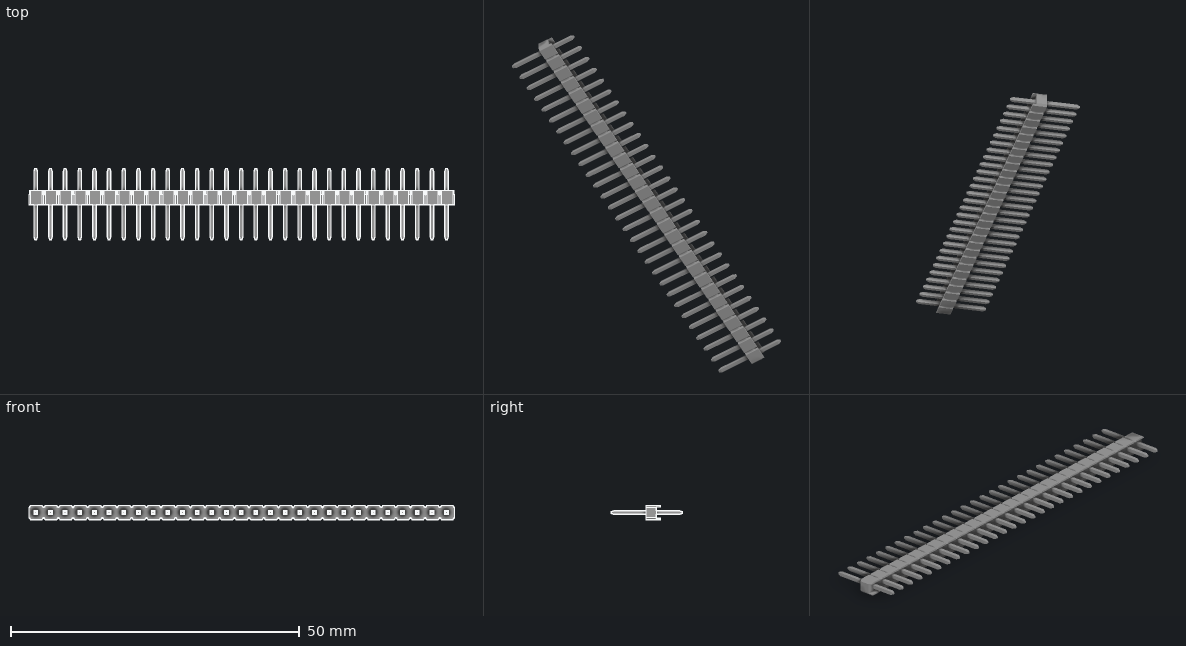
import cadquery as cq

length = 73.65
pin_count = 29
body_height = 2.5
body_depth = 2.5
chamfer_width = 0.3
chamfer_height = 0.4

foot_length = 0.7
foot_thickness = 0.3

pin_width = 0.64
pin_length = 12.4
pin_front_reach = 6.05
pin_offset = -0.1
tip_length = 0.5
tip_width = 0.31

pitch = length / pin_count
overlap = 0.1


def make_block():
    """One octagonal block with its front face at Y = 0 and its length toward +Y."""
    half_width = pitch / 2
    half_height = body_height / 2
    flat = half_width - chamfer_width
    side = half_height - chamfer_height
    outline = [
        (flat, half_height),
        (half_width, side),
        (half_width, -side),
        (flat, -half_height),
        (-flat, -half_height),
        (-half_width, -side),
        (-half_width, side),
        (-flat, half_height),
    ]
    return cq.Workplane("XZ").polyline(outline).close().extrude(-body_depth)


def make_back_channel():
    """Cutter for the channel along X that leaves thin feet above and below it."""
    channel_height = body_height - 2 * foot_thickness
    return (
        cq.Workplane("XY")
        .box(length + 2 * overlap, foot_length + overlap, channel_height, centered=(True, False, True))
        .translate((0, body_depth - foot_length, 0))
    )


def make_pin():
    """Square pin along Y with a blunt pyramid at each end."""
    shank_length = pin_length - 2 * tip_length
    shank = cq.Workplane("XZ").rect(pin_width, pin_width).extrude(shank_length / 2, both=True)
    tip = (
        cq.Workplane("XZ", origin=(0, -shank_length / 2, 0))
        .rect(pin_width, pin_width)
        .workplane(offset=tip_length)
        .rect(tip_width, tip_width)
        .loft()
    )
    pin = shank.union(tip).union(tip.mirror("XZ"))
    return pin.translate((pin_offset, pin_length / 2 - pin_front_reach, 0))


centres = [((i - (pin_count - 1) / 2) * pitch, 0, 0) for i in range(pin_count)]


def repeat_along_row(shape):
    """Copy a shape to every block centre."""
    solid = shape.val()
    return [solid.translate(cq.Vector(*centre)) for centre in centres]


blocks = repeat_along_row(make_block())
body = cq.Workplane(blocks[0].fuse(*blocks[1:])).cut(make_back_channel())
pins = repeat_along_row(make_pin())
result = cq.Workplane(body.val().fuse(*pins))